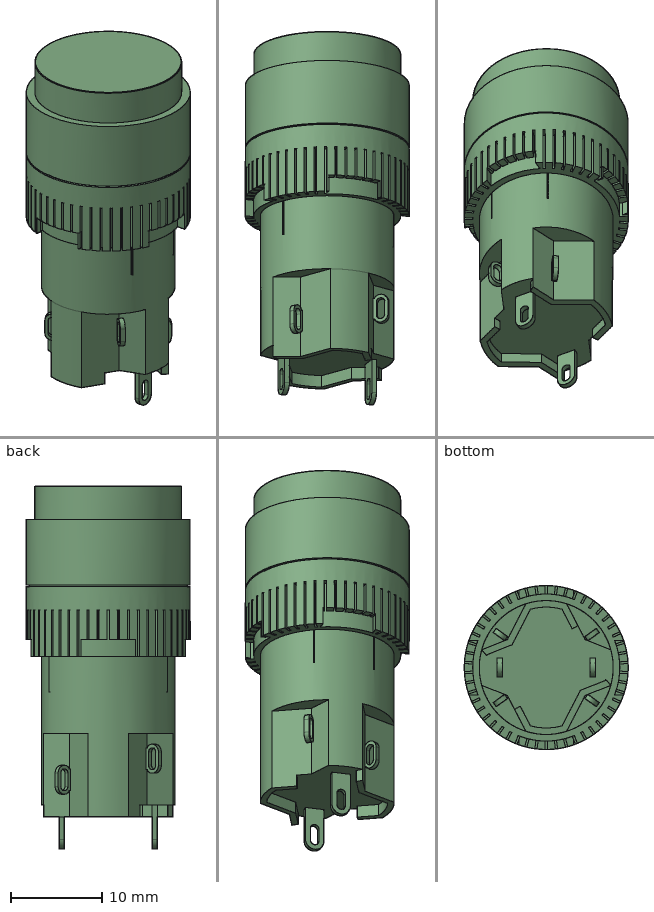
import cadquery as cq
import math


TOTAL_HEIGHT = 39.8
BEZEL_TOP = 36.15
NUT_TOP = 28.95
NUT_SLOT_TOP = 26.23
NUT_NOTCH_TOP = 22.95
NUT_BOTTOM = 21.1
BARREL_BOTTOM = 12.7
BASE_FLOOR = 4.85
BASE_BOTTOM = 3.55

CAP_DIAMETER = 16.1
CAP_EDGE_CHAMFER = 0.08
BEZEL_DIAMETER = 18.0
NUT_CORE_DIAMETER = 16.1
BARREL_DIAMETER = 14.7
SEAM_HEIGHT = 0.15
SEAM_DEPTH = 0.3

SLOT_COUNT = 50
SLOT_WIDTH = 0.25
NOTCH_COUNT = 4
NOTCH_WIDTH = 5.97

SLIT_Y = 3.42
SLIT_WIDTH = 0.08
SLIT_DEPTH = 0.15
SLIT_BOTTOM = 17.25

Y_ARM_HALF_WIDTH = 2.23
X_ARM_HALF_WIDTH = 1.95
NOTCH_VERTEX = (4.25, 3.05)
SKIRT_WALL = 0.7
SKIRT_END_Y = 4.58
ARM_SKIRT_END = (6.55, 1.35)

TERMINAL_THICKNESS = 0.55
TERMINAL_SLOT_WIDTH = 0.95
TERMINAL_SLOT_LENGTH = 2.4
PIN_X = 5.1
PIN_WIDTH = 2.1
PIN_SLOT_CENTER_Z = 1.75
LUG_WIDTH = 1.67
LUG_HEIGHT = 3.2
LUG_CENTER_RADIUS = 6.13
LUG_LOW_Z = 7.6
LUG_HIGH_Z = 9.9

BARREL_RADIUS = BARREL_DIAMETER / 2
OVERLAP = 0.8
CLEARANCE = 1.6

Y_ARM_CORNER = (Y_ARM_HALF_WIDTH, math.sqrt(BARREL_RADIUS**2 - Y_ARM_HALF_WIDTH**2))
X_ARM_CORNER = (math.sqrt(BARREL_RADIUS**2 - X_ARM_HALF_WIDTH**2), X_ARM_HALF_WIDTH)


def cylinder(diameter, bottom, top):
    return cq.Workplane("XY").workplane(offset=bottom).circle(diameter / 2).extrude(top - bottom)


def block(x_range, y_range, z_range):
    """Axis-aligned box between the given limits."""
    sizes = [high - low for low, high in (x_range, y_range, z_range)]
    corner = (x_range[0], y_range[0], z_range[0])
    return cq.Workplane("XY").box(*sizes, centered=False).translate(corner)


def turned(shape, angle):
    return shape.rotate((0, 0, 0), (0, 0, 1), angle)


def make_head():
    """Push cap and bezel, with a fine seam where the bezel meets the nut."""
    cap = cylinder(CAP_DIAMETER, BEZEL_TOP, TOTAL_HEIGHT).faces(">Z").chamfer(CAP_EDGE_CHAMFER)
    bezel = cylinder(BEZEL_DIAMETER, NUT_TOP, BEZEL_TOP)
    seam_core = cylinder(BEZEL_DIAMETER - 2 * SEAM_DEPTH, NUT_TOP - SEAM_HEIGHT, NUT_TOP)
    return bezel.union(cap).union(seam_core)


def make_nut():
    """Ring nut with grip slots and four notches in its lower rim."""
    outer_radius = BEZEL_DIAMETER / 2
    rim = cylinder(BEZEL_DIAMETER, NUT_BOTTOM, NUT_TOP - SEAM_HEIGHT)
    slot = block(
        (0, outer_radius + CLEARANCE),
        (-SLOT_WIDTH / 2, SLOT_WIDTH / 2),
        (NUT_BOTTOM, NUT_SLOT_TOP),
    )
    notch = block(
        (0, outer_radius + CLEARANCE),
        (-NOTCH_WIDTH / 2, NOTCH_WIDTH / 2),
        (NUT_BOTTOM, NUT_NOTCH_TOP),
    )
    cutters = [turned(slot, -90 + i * 360 / SLOT_COUNT) for i in range(SLOT_COUNT)]
    cutters += [turned(notch, i * 360 / NOTCH_COUNT) for i in range(NOTCH_COUNT)]
    for cutter in cutters:
        rim = rim.cut(cutter)
    return rim.union(cylinder(NUT_CORE_DIAMETER, NUT_BOTTOM, NUT_SLOT_TOP))


def make_barrel():
    """Plain barrel with two latch slits on each X side."""
    barrel = cylinder(BARREL_DIAMETER, BARREL_BOTTOM, NUT_BOTTOM)
    slit_x = math.sqrt(BARREL_RADIUS**2 - SLIT_Y**2)
    for x_sign in (-1, 1):
        for y_sign in (-1, 1):
            slit = cq.Workplane("XY").box(2 * SLIT_DEPTH, SLIT_WIDTH, NUT_BOTTOM - SLIT_BOTTOM)
            slit_middle = (NUT_BOTTOM + SLIT_BOTTOM) / 2
            barrel = barrel.cut(slit.translate((x_sign * slit_x, y_sign * SLIT_Y, slit_middle)))
    return barrel


def base_outline(bottom):
    """Four arms ending on the barrel circle, joined by V notches."""
    (xx, xy), (vx, vy), (yx, yy) = X_ARM_CORNER, NOTCH_VERTEX, Y_ARM_CORNER
    return (
        cq.Workplane("XY").workplane(offset=bottom)
        .moveTo(xx, -xy).threePointArc((BARREL_RADIUS, 0), (xx, xy))
        .lineTo(vx, vy).lineTo(yx, yy)
        .threePointArc((0, BARREL_RADIUS), (-yx, yy))
        .lineTo(-vx, vy).lineTo(-xx, xy)
        .threePointArc((-BARREL_RADIUS, 0), (-xx, -xy))
        .lineTo(-vx, -vy).lineTo(-yx, -yy)
        .threePointArc((0, -BARREL_RADIUS), (yx, -yy))
        .lineTo(vx, -vy).close()
    )


def skirt_opening():
    """Region below the floor where the skirt is missing, from the -X arm to the +Y arm."""
    run_x = NOTCH_VERTEX[0] - Y_ARM_CORNER[0]
    run_y = Y_ARM_CORNER[1] - NOTCH_VERTEX[1]
    face_length = math.hypot(run_x, run_y)
    inward = (run_y / face_length, -run_x / face_length)
    end_x = -NOTCH_VERTEX[0] + run_x * (SKIRT_END_Y - NOTCH_VERTEX[1]) / run_y

    def across_wall(distance):
        return (end_x + inward[0] * distance, SKIRT_END_Y + inward[1] * distance)

    outside_x = -BARREL_RADIUS - CLEARANCE
    outside_point = across_wall(-CLEARANCE)
    points = [
        outside_point,
        across_wall(SKIRT_WALL),
        (0, 0),
        (-ARM_SKIRT_END[0], -ARM_SKIRT_END[1]),
        (-X_ARM_CORNER[0], -X_ARM_CORNER[1]),
        (outside_x, -X_ARM_CORNER[1]),
        (outside_x, outside_point[1]),
    ]
    plane = cq.Workplane("XY").workplane(offset=BASE_BOTTOM)
    return plane.polyline(points).close().extrude(BASE_FLOOR - BASE_BOTTOM)


def make_base():
    """Solid cross-shaped block with a thin skirt hanging below its floor."""
    base = base_outline(BASE_BOTTOM).extrude(BARREL_BOTTOM - BASE_BOTTOM)
    hollow = base_outline(BASE_BOTTOM).offset2D(-SKIRT_WALL, "intersection")
    base = base.cut(hollow.extrude(BASE_FLOOR - BASE_BOTTOM))
    for angle in (0, 180):
        base = base.cut(turned(skirt_opening(), angle))
    return base


def upright_slot(width, length, thickness):
    """Upright stadium plate in the XZ plane, centred on the origin."""
    sketch = cq.Workplane("XZ").slot2D(length, width, 90)
    return sketch.extrude(thickness / 2, both=True)


def terminal_eye():
    return upright_slot(TERMINAL_SLOT_WIDTH, TERMINAL_SLOT_LENGTH, 2 * TERMINAL_THICKNESS)


def make_pin():
    """Downward terminal in the YZ plane with a rounded, slotted tip."""
    length = BASE_FLOOR + OVERLAP + PIN_WIDTH / 2
    blade = upright_slot(PIN_WIDTH, length, TERMINAL_THICKNESS).translate((0, 0, length / 2))
    blade = blade.cut(terminal_eye().translate((0, 0, PIN_SLOT_CENTER_Z)))
    return turned(blade, 90)


def make_lug(center_z):
    """Side terminal standing out of the vertex of the +X +Y notch."""
    lug = upright_slot(LUG_WIDTH, LUG_HEIGHT, TERMINAL_THICKNESS).cut(terminal_eye())
    angle = math.degrees(math.atan2(NOTCH_VERTEX[1], NOTCH_VERTEX[0]))
    root = block(
        (-LUG_WIDTH / 2 - OVERLAP, -TERMINAL_SLOT_WIDTH / 2),
        (-TERMINAL_THICKNESS / 2, TERMINAL_THICKNESS / 2),
        (-TERMINAL_SLOT_LENGTH / 2, TERMINAL_SLOT_LENGTH / 2),
    )
    return turned(lug.union(root).translate((LUG_CENTER_RADIUS, 0, center_z)), angle)


result = make_head().union(make_nut()).union(make_barrel()).union(make_base())
for side in (-1, 1):
    result = result.union(make_pin().translate((side * PIN_X, 0, 0)))

low_lug = make_lug(LUG_LOW_Z)
high_lug = make_lug(LUG_HIGH_Z).mirror("XZ")
for angle in (0, 180):
    result = result.union(turned(low_lug, angle)).union(turned(high_lug, angle))